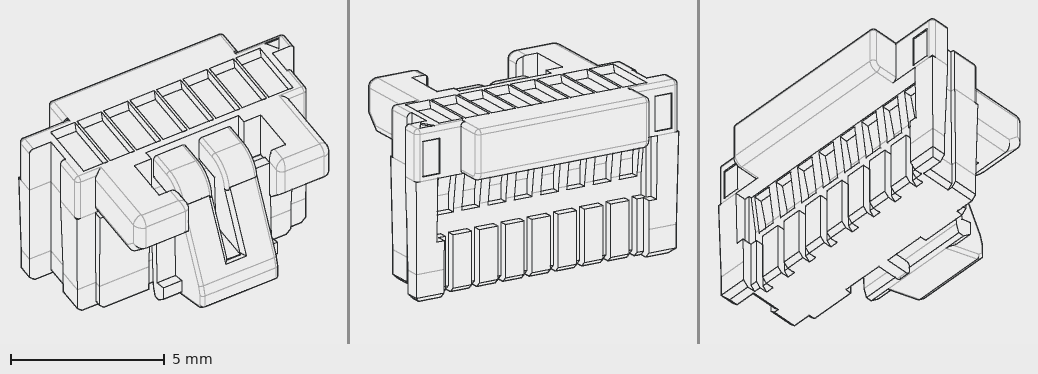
import cadquery as cq
import math

height = 6.0
head_bottom = 4.22
draft_end = 1.01
skirt_top = 2.01

flange_front = 1.03
flange_back = 1.73
rear_front = 2.67
rear_back = 3.72
flange_half = 4.975
waist_half = 4.17
rear_half = 4.35
edge_round = 0.15
beam_half = 3.28
beam_lip_round = 0.3

front_draft = 0.07
groove_draft = 0.09
rear_draft = 0.05
end_draft = 0.05
foot_chamfer = 0.2
rear_foot_chamfer = 0.17

contact_count = 8
pitch = 0.995

pocket_front = 1.32
pocket_back = 3.46
pocket_width = 0.91
pocket_depth = 0.24
pocket_ramp = 0.17
pocket_side_draft = 0.05

tooth_front = 1.44
recess_wall = 1.74
outer_recess_half = 4.16
inner_recess_half = 3.97
skirt_half = 3.88
tooth_gap = 0.29
window_width = 0.67
window_bottom = 2.68
window_top = 4.16
window_sill_top = 3.21
window_back = 2.05
window_back_top = 1.84
pillar_lean_start = 2.8
pillar_lean = 0.2

arm_end = 6.5
arm_outer = 3.65
arm_inner = 2.38
hook_start = 5.67
hook_tip = 1.67
hook_round = 0.2
hook_chamfer = 0.16
end_round = 0.29
shoulder_back = 4.06
shoulder_inner = 1.74
arm_round = 0.3
arm_chamfer = 0.55
pad_back_top = 4.04
pad_back_bottom = 3.9

latch_half = 1.45
latch_edge = 0.12
latch_tip = 6.85
arch_top = 5.68
arch_underside = 4.77
arch_start = 4.58
arch_radius = arch_top - arch_underside
arch_end = arch_start + arch_radius
leaf_top = (4.73, arch_underside)
leaf_bottom = (4.9, 1.14)
toe_left = (5.0, 0.81)
toe_right = (5.22, 0.81)
slope_top = 4.88
slope_end = (6.75, 2.31)
tip_top = 1.93
tip_bottom = 1.44
nose_bottom = (6.65, 1.26)
wing_half = 2.15
wing_thickness = 0.32
wing_toe_x = 5.54
wing_toe_top = 1.61
wing_toe_bottom = 1.09
wing_toe_step = (5.14, 1.51)
latch_slot_half = 0.25
latch_slot_floor = 2.69
latch_slot_end = 6.43
latch_slot_bevel = 0.14

rib_half = 0.21
rib_ledge_back = 4.66
rib_ledge_top = 0.53
rib_knee = 2.03
rib_round = 0.15

mark_depth = 0.05
panel_inner = 4.08
panel_width = 0.64
panel_bottom = 4.37
panel_height = 1.21
triangle_base = 1.2
triangle_tip = 1.64
triangle_center = 4.46
triangle_half = 0.27

box_margin = 0.01
row_positions = [(i - (contact_count - 1) / 2) * pitch for i in range(contact_count)]


def block(x0, x1, y0, y1, z0, z1):
    return cq.Workplane("XY").box(x1 - x0, y1 - y0, z1 - z0, centered=False).translate((x0, y0, z0))


def edges_between(low, high):
    """Select edges whose middle lies in the box between two corners, faces included."""
    return cq.selectors.BoxSelector(
        tuple(v - box_margin for v in low), tuple(v + box_margin for v in high)
    )


def centered_block(x0, x1, half, z0, z1):
    return block(x0, x1, -half, half, z0, z1)


def side_profile(outline, half):
    """Extrude a closed XZ outline to both sides of the middle plane."""
    return outline.close().extrude(half, both=True)


def mirrored(shape):
    return shape.union(shape.mirror("XZ"))


def leg(top_x, bottom_x, half, chamfer):
    """Slab under the head: drafted, then straight down to a chamfered foot."""
    top_length = top_x[1] - top_x[0]
    length = bottom_x[1] - bottom_x[0]
    top_mid = sum(top_x) / 2
    mid = sum(bottom_x) / 2
    foot_half = half - end_draft
    drafted = (
        cq.Workplane("XY", origin=(mid, 0, draft_end)).rect(length, 2 * foot_half)
        .workplane(offset=head_bottom - draft_end).center(top_mid - mid, 0)
        .rect(top_length, 2 * half).loft(ruled=True)
    )
    foot = centered_block(bottom_x[0], bottom_x[1], foot_half, 0, draft_end)
    foot = foot.faces("<Z").edges("|X").chamfer(chamfer)
    return drafted.union(foot)


def make_head():
    flange = centered_block(flange_front, flange_back, flange_half, head_bottom, height)
    flange = flange.edges("(<X and |Z) or (>Z and (not >X))").fillet(edge_round)
    waist = centered_block(flange_back, rear_front, waist_half, head_bottom, height)
    rear = centered_block(rear_front, rear_back, rear_half, head_bottom, height)
    rear = rear.edges("(>X and |Z) or (>Z and (not <X))").fillet(edge_round)
    beam = centered_block(0, flange_front, beam_half, head_bottom, height)
    beam = beam.edges("<X and <Z").fillet(beam_lip_round)
    beam = beam.edges("(<X and |Z) or ((>Z or <Z) and (not >X))").fillet(edge_round)
    root = centered_block(flange_front, flange_back, beam_half - edge_round, head_bottom, height)
    return flange.union(waist).union(rear).union(beam).union(root)


def make_legs():
    front = leg(
        (flange_front, flange_back),
        (flange_front + front_draft, flange_back - groove_draft),
        flange_half, foot_chamfer,
    )
    front = front.faces("<Z").edges("<X").chamfer(foot_chamfer)
    front = front.cut(centered_block(0, flange_back, skirt_half, 0, skirt_top))
    core = leg((tooth_front, rear_front + 0.2), (tooth_front, rear_front + 0.2), waist_half, rear_foot_chamfer)
    core = core.faces("<Z").edges("<X").chamfer(rear_foot_chamfer)
    rear = leg(
        (rear_front, rear_back),
        (rear_front + groove_draft, rear_back - rear_draft),
        rear_half, rear_foot_chamfer,
    )
    return front.union(core).union(rear)


def cut_front(body):
    cutters = [
        centered_block(0, tooth_front, outer_recess_half, skirt_top, head_bottom),
        centered_block(0, recess_wall, inner_recess_half, skirt_top, head_bottom),
        centered_block(0, tooth_front, skirt_half, 0, skirt_top),
    ]
    for y in row_positions:
        cutters.append(block(0, recess_wall, y - tooth_gap / 2, y + tooth_gap / 2, 0, skirt_top))
    for cutter in cutters:
        body = body.cut(cutter)

    slot_feet = edges_between((recess_wall, -skirt_half, 0), (recess_wall, skirt_half, 0))
    body = body.edges(slot_feet).chamfer(rear_foot_chamfer)

    pillars = side_profile(
        cq.Workplane("XZ").moveTo(recess_wall, pillar_lean_start)
        .lineTo(recess_wall - pillar_lean, head_bottom).lineTo(recess_wall, head_bottom),
        inner_recess_half,
    )
    body = body.union(pillars)

    window = side_profile(
        cq.Workplane("XZ").moveTo(tooth_front, window_bottom)
        .lineTo(window_back, window_bottom).lineTo(window_back, window_sill_top)
        .lineTo(window_back_top, window_top).lineTo(tooth_front, window_top),
        window_width / 2,
    )
    for y in row_positions:
        body = body.cut(window.translate((0, y, 0)))
    return body


def cut_pockets(body):
    length = pocket_back - pocket_front
    middle = (pocket_front + pocket_back) / 2
    pocket = (
        cq.Workplane("XY", origin=(middle, 0, height - pocket_depth))
        .rect(length - 2 * pocket_ramp, pocket_width - 2 * pocket_side_draft)
        .workplane(offset=pocket_depth).rect(length, pocket_width).loft(ruled=True)
    )
    for y in row_positions:
        body = body.cut(pocket.translate((0, y, 0)))
    return body


def make_arms():
    root = pocket_back
    arm = (
        cq.Workplane("XY", origin=(0, 0, head_bottom))
        .moveTo(root, 0).lineTo(rear_back, 0).lineTo(rear_back, shoulder_inner)
        .lineTo(shoulder_back, shoulder_inner).lineTo(shoulder_back, arm_inner)
        .lineTo(hook_start, arm_inner).lineTo(hook_start, hook_tip)
        .lineTo(arm_end, hook_tip).lineTo(arm_end, arm_outer).lineTo(root, arm_outer)
        .close().extrude(height - head_bottom)
    )
    arm = arm.faces(">X").edges("<Z").chamfer(arm_chamfer)
    arm = arm.faces(">X").edges("|Z and <Y").fillet(hook_round)
    hook_corner = edges_between((hook_start, hook_tip, 0), (hook_start, hook_tip, height))
    arm = arm.edges("|Z").edges(hook_corner).chamfer(hook_chamfer)
    arm = arm.edges(">Y and (not <X)").fillet(arm_round)
    arm = arm.faces(">X").edges(">Z").fillet(end_round)
    return arm


def make_pads():
    """Drafted pads that back up the legs below both arms."""
    pad_front = (rear_front + rear_back) / 2
    pads = leg((pad_front, pad_back_top), (pad_front, pad_back_bottom), arm_outer, rear_foot_chamfer)
    return pads.cut(centered_block(pad_front, pad_back_top, shoulder_inner, 0, height))


def make_hoop():
    """Spring hoop from the head over to the latch paddle, on the +Y side of the slot."""
    hoop = (
        cq.Workplane("XZ").moveTo(rear_back, arch_top).lineTo(arch_start, arch_top)
        .radiusArc((arch_end, arch_underside), arch_radius)
        .lineTo(rear_back, arch_underside).close().extrude(latch_slot_half - latch_half)
        .translate((0, latch_slot_half, 0))
    )
    return hoop.faces("(not <Z) and (not |Y) and (not <X)").edges("not |Y").fillet(latch_edge)


def make_paddle():
    paddle = side_profile(
        cq.Workplane("XZ").moveTo(*leaf_top).lineTo(arch_end, slope_top).lineTo(*slope_end)
        .lineTo(latch_tip, tip_top).lineTo(latch_tip, tip_bottom).lineTo(*nose_bottom)
        .lineTo(*toe_right).lineTo(*toe_left).lineTo(*leaf_bottom),
        latch_half,
    )
    back = edges_between((arch_end, -latch_half, 0), (latch_tip, latch_half, arch_underside))
    return paddle.edges("not |Y").edges(back).fillet(latch_edge)


def make_wings():
    return side_profile(
        cq.Workplane("XZ").moveTo(*leaf_top).lineTo(*leaf_bottom).lineTo(*toe_left)
        .lineTo(*toe_right).lineTo(wing_toe_x, wing_toe_bottom).lineTo(wing_toe_x, wing_toe_top)
        .lineTo(*wing_toe_step).lineTo(leaf_top[0] + wing_thickness, arch_underside),
        wing_half,
    )


def make_slot_bevel():
    """Tapered cutter that bevels the slot edges on the sloped face of the paddle."""
    run = slope_end[0] - arch_end
    drop = slope_top - slope_end[1]
    slope_length = math.hypot(run, drop)
    bevel_end = slope_length * (latch_slot_end + latch_slot_bevel - arch_end) / run
    face = cq.Plane(origin=(arch_end, 0, slope_top), xDir=(run, 0, -drop), normal=(-drop, 0, -run))
    return (
        cq.Workplane(face).center(bevel_end / 2 - latch_slot_bevel, 0)
        .rect(bevel_end + 2 * latch_slot_bevel, 2 * (latch_slot_half + latch_slot_bevel))
        .extrude(latch_slot_bevel, taper=45)
    )


def make_latch():
    slot = centered_block(rear_back, latch_slot_end, latch_slot_half, latch_slot_floor, height)
    paddle = make_paddle().cut(make_slot_bevel())
    return paddle.union(make_wings()).cut(slot).union(mirrored(make_hoop()))


def make_stop_rib():
    rib = side_profile(
        cq.Workplane("XZ").moveTo(rear_front + 0.2, 0).lineTo(rib_ledge_back, 0)
        .lineTo(rib_ledge_back, rib_ledge_top).lineTo(shoulder_back, rib_ledge_top)
        .lineTo(shoulder_back, rib_knee).lineTo(rear_back, head_bottom)
        .lineTo(rear_front + 0.2, head_bottom),
        rib_half,
    )
    return rib.edges("|Y").edges(">X").fillet(rib_round)


def cut_marks(body):
    panel = block(
        flange_front, flange_front + mark_depth, panel_inner, panel_inner + panel_width,
        panel_bottom, panel_bottom + panel_height,
    )
    triangle = (
        cq.Workplane("XY", origin=(0, 0, height - mark_depth))
        .moveTo(triangle_base, triangle_center - triangle_half)
        .lineTo(triangle_base, triangle_center + triangle_half)
        .lineTo(triangle_tip, triangle_center).close().extrude(mark_depth)
    )
    return body.cut(mirrored(panel)).cut(triangle)


housing = cut_front(make_head().union(make_legs()))
housing = housing.union(mirrored(make_arms())).union(make_pads())
housing = cut_marks(cut_pockets(housing))
result = housing.union(make_stop_rib()).union(make_latch())